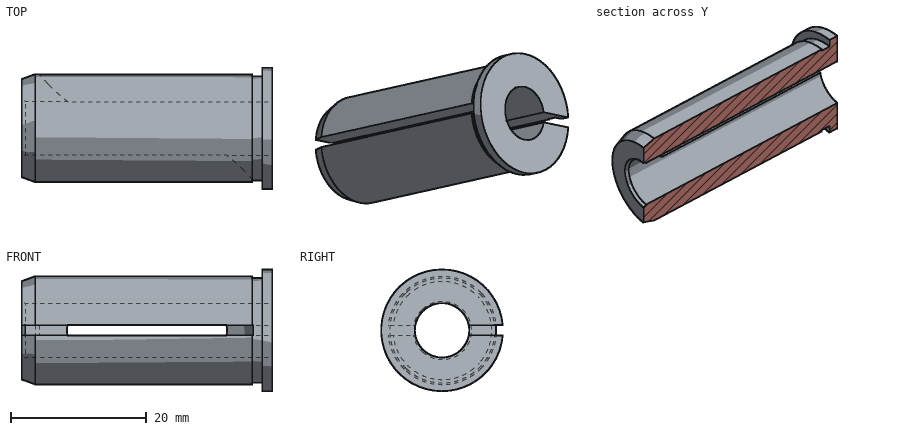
import cadquery as cq
import math

length = 37.0
flange_thickness = 1.5
neck_width = 1.5
nose_length = 2.0
nose_angle = 20.0

body_radius = 8.0
flange_radius = 9.0
neck_radius = 7.75
bore_radius = 4.0

entry_length = 0.5
entry_radius = bore_radius + 0.3

slot_width = 1.5
saw_radius = 25.0
slot_bore_margin = 6.7
slot_neck_margin = 2.8

flange_start = length - flange_thickness
neck_start = flange_start - neck_width
nose_radius = body_radius - nose_length * math.tan(math.radians(nose_angle))


def sleeve():
    """Flanged, undercut and bored sleeve, revolved about the X axis."""
    profile = [
        (0, entry_radius),
        (0, nose_radius),
        (nose_length, body_radius),
        (neck_start, body_radius),
        (neck_start, neck_radius),
        (flange_start, neck_radius),
        (flange_start, flange_radius),
        (length, flange_radius),
        (length, bore_radius),
        (entry_length, bore_radius),
    ]
    return cq.Workplane("XY").polyline(profile).close().revolve(360, (0, 0, 0), (1, 0, 0))


def saw_center():
    """Center (x, y) of the saw where a +Y slot stops, its rim passing both end points of the run-out."""
    run_x = slot_bore_margin - slot_neck_margin
    run_y = neck_radius - bore_radius
    chord = math.hypot(run_x, run_y)
    offset = math.sqrt(saw_radius**2 - (chord / 2) ** 2)
    x = (slot_bore_margin + slot_neck_margin) / 2 + offset * run_y / chord
    y = (bore_radius + neck_radius) / 2 + offset * run_x / chord
    return x, y


def flange_slot():
    """Slot through the +Y wall, open at the flange end, with a saw-radius run-out near the nose."""
    center_x, center_y = saw_center()
    rim_bottom = center_y - saw_radius
    run_out_angle = math.radians(225)
    rim_middle = (
        center_x + saw_radius * math.cos(run_out_angle),
        center_y + saw_radius * math.sin(run_out_angle),
    )
    return (
        cq.Workplane("XY")
        .moveTo(center_x - saw_radius, center_y)
        .threePointArc(rim_middle, (center_x, rim_bottom))
        .lineTo(length, rim_bottom)
        .lineTo(length, center_y)
        .close()
        .extrude(slot_width / 2, both=True)
    )


def nose_slot():
    """The flange slot turned half a turn about the middle of the sleeve."""
    middle = length / 2
    return flange_slot().rotate((middle, 0, 0), (middle, 0, 1), 180)


result = sleeve().cut(flange_slot()).cut(nose_slot())